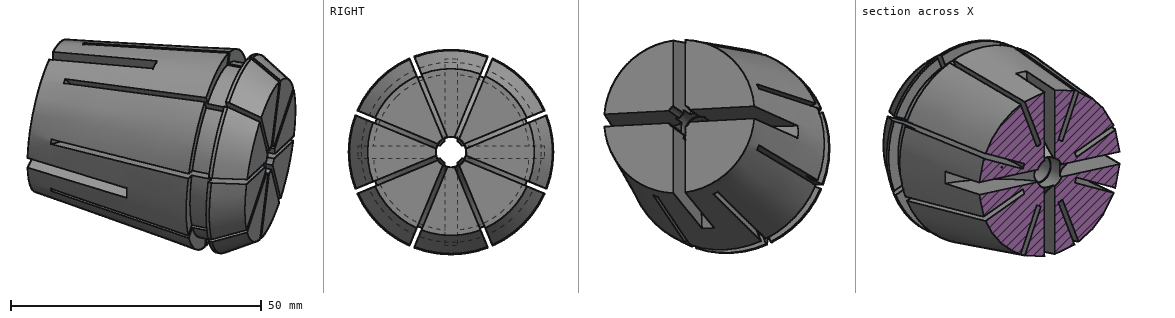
import cadquery as cq
import math

TOTAL_LENGTH = 46.0
TAPER_LENGTH = 34.9
TAPER_LARGE_RADIUS = 20.5
TAPER_HALF_ANGLE = 8.0
GROOVE_END = 39.0
GROOVE_RADIUS = 18.0
RIM_WIDTH = 0.7
RIM_RADIUS = 20.3
NOSE_HALF_ANGLE = 30.0

GUIDE_RADIUS = 2.5
GUIDE_LENGTH = 8.0
RELIEF_RADIUS = 3.15
RELIEF_END = 16.0
TOOL_BORE_RADIUS = 3.0

WIDE_SLOT_COUNT = 4
WIDE_SLOT_WIDTH = 2.5
WIDE_SAW_RADIUS = 21.7
WIDE_SAW_X = 0.2
WIDE_SAW_OFFSET = 20.75

NARROW_SLOT_COUNT = 8
NARROW_SLOT_WIDTH = 1.0
NARROW_SLOT_START = 4.8
NARROW_SAW_RADIUS = 22.0
NARROW_FLOOR_RADIUS = 2.5

CUT_MARGIN = 1.0


def taper_radius(x):
    """Radius of the long taper at axial position x."""
    return TAPER_LARGE_RADIUS - (TAPER_LENGTH - x) * math.tan(math.radians(TAPER_HALF_ANGLE))


def make_body():
    """Turned blank: long taper, extraction groove, rim and steep nose cone."""
    rim_end = GROOVE_END + RIM_WIDTH
    nose_drop = (TOTAL_LENGTH - rim_end) * math.tan(math.radians(NOSE_HALF_ANGLE))
    profile = [
        (0, 0),
        (0, taper_radius(0)),
        (TAPER_LENGTH, TAPER_LARGE_RADIUS),
        (TAPER_LENGTH, GROOVE_RADIUS),
        (GROOVE_END, GROOVE_RADIUS),
        (GROOVE_END, RIM_RADIUS),
        (rim_end, RIM_RADIUS),
        (TOTAL_LENGTH, RIM_RADIUS - nose_drop),
        (TOTAL_LENGTH, 0),
    ]
    return cq.Workplane("XY").polyline(profile).close().revolve(360, (0, 0, 0), (1, 0, 0))


def make_bore():
    """Stepped hole through the full length of the collet."""
    profile = [
        (0, 0),
        (0, GUIDE_RADIUS),
        (GUIDE_LENGTH, GUIDE_RADIUS),
        (GUIDE_LENGTH, RELIEF_RADIUS),
        (RELIEF_END, RELIEF_RADIUS),
        (RELIEF_END, TOOL_BORE_RADIUS),
        (TOTAL_LENGTH, TOOL_BORE_RADIUS),
        (TOTAL_LENGTH, 0),
    ]
    return cq.Workplane("XY").polyline(profile).close().revolve(360, (0, 0, 0), (1, 0, 0))


def make_saw(x, offset, radius, width):
    """Disc lying in the XY plane, centred across its width on z = 0."""
    return cq.Workplane("XY").center(x, offset).circle(radius).extrude(width / 2, both=True)


def make_wide_slot():
    """Slot open at the small end with a floor curved by the saw."""
    return make_saw(WIDE_SAW_X, WIDE_SAW_OFFSET, WIDE_SAW_RADIUS, WIDE_SLOT_WIDTH)


def make_narrow_slot():
    """Slot open at the nose: curved run-out at its start, then a straight floor inside the bore."""
    saw_offset = NARROW_FLOOR_RADIUS + NARROW_SAW_RADIUS
    rise = saw_offset - taper_radius(NARROW_SLOT_START)
    saw_x = NARROW_SLOT_START + math.sqrt(NARROW_SAW_RADIUS**2 - rise**2)
    end_x = TOTAL_LENGTH + CUT_MARGIN
    run_out = make_saw(saw_x, saw_offset, NARROW_SAW_RADIUS, NARROW_SLOT_WIDTH)
    straight = (
        cq.Workplane("XY")
        .moveTo(saw_x, NARROW_FLOOR_RADIUS)
        .lineTo(end_x, NARROW_FLOOR_RADIUS)
        .lineTo(end_x, saw_offset)
        .lineTo(saw_x, saw_offset)
        .close()
        .extrude(NARROW_SLOT_WIDTH / 2, both=True)
    )
    return run_out.union(straight)


def cut_around_axis(body, cutter, count, first_angle):
    """Cut equally spaced copies of a cutter around the X axis."""
    for index in range(count):
        angle = first_angle + index * 360 / count
        body = body.cut(cutter.rotate((0, 0, 0), (1, 0, 0), angle))
    return body


result = make_body().cut(make_bore())
result = cut_around_axis(result, make_wide_slot(), WIDE_SLOT_COUNT, 0)
narrow_first_angle = 180 / NARROW_SLOT_COUNT
result = cut_around_axis(result, make_narrow_slot(), NARROW_SLOT_COUNT, narrow_first_angle)